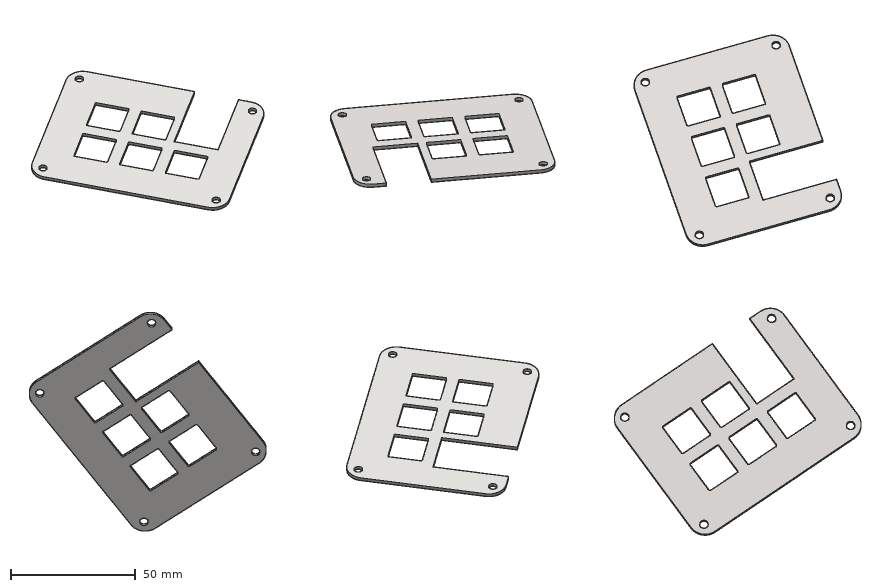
import cadquery as cq

length = 82.0
width = 65.0
thickness = 1.5
corner_radius = 7.0

hole_diameter = 3.4
hole_inset = 5.0

window_size = 14.0
window_corner_radius = 0.5
pitch = 19.0
grid_center_x = 0.0
lower_row_y = -10.4
upper_row_y = lower_row_y + pitch
window_centers = [
    (grid_center_x - pitch, lower_row_y),
    (grid_center_x, lower_row_y),
    (grid_center_x + pitch, lower_row_y),
    (grid_center_x - pitch, upper_row_y),
    (grid_center_x, upper_row_y),
]

notch_left = 10.5
notch_width = 18.3
notch_floor_y = upper_row_y - window_size / 2
notch_depth = width / 2 - notch_floor_y


def make_plate():
    plate = cq.Workplane("XY").box(length, width, thickness)
    return plate.edges("|Z").fillet(corner_radius)


def make_mounting_holes():
    spacing_x = length - 2 * hole_inset
    spacing_y = width - 2 * hole_inset
    corners = cq.Workplane("XY").rect(spacing_x, spacing_y, forConstruction=True).vertices()
    return corners.circle(hole_diameter / 2).extrude(thickness, both=True)


def make_windows():
    squares = cq.Workplane("XY").pushPoints(window_centers).rect(window_size, window_size)
    return squares.extrude(thickness, both=True).edges("|Z").fillet(window_corner_radius)


def make_notch():
    center_x = notch_left + notch_width / 2
    center_y = notch_floor_y + notch_depth / 2
    opening = cq.Workplane("XY").center(center_x, center_y).rect(notch_width, notch_depth)
    return opening.extrude(thickness, both=True)


result = make_plate().cut(make_mounting_holes()).cut(make_windows()).cut(make_notch())